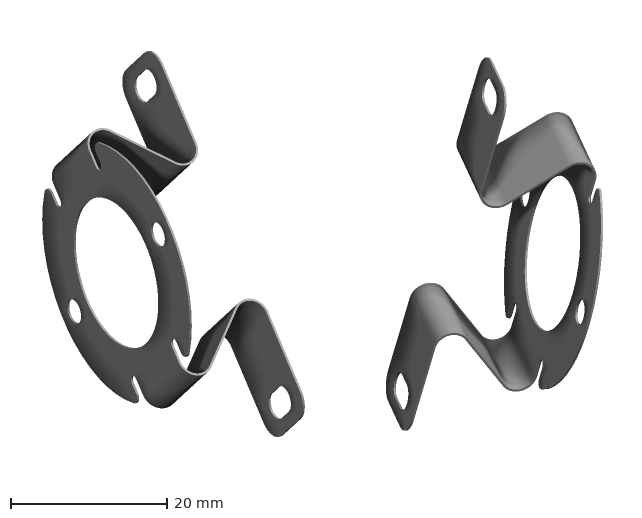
import cadquery as cq
import math

sheet = 0.3
total_depth = 15.0
disc_radius = 17.5
bore_radius = 10.0
hole_radius = 1.62
hole_distance = 14.03

arm_half_width = 6.0
bend_outer_radius = 2.5
first_bend_x = 15.0
second_bend_x = 12.0
tip_x = 26.0
tip_corner_radius = 3.0
slot_x = 22.5
slot_width = 3.5
slot_length = 6.0
arm_angle = 45

notch_width = 1.5
notch_end_x = 12.0
lip_radius = 1.0

bend_mid_radius = bend_outer_radius - sheet / 2
second_bend_y = total_depth - bend_outer_radius
notch_outer_z = arm_half_width + notch_width


def plate(profile):
    """Give a flat XZ outline the sheet thickness, from Y = 0 to Y = sheet."""
    return profile.extrude(-sheet)


def make_disc():
    disc = plate(cq.Workplane("XZ").circle(disc_radius))
    gap_length = disc_radius - first_bend_x
    for side in (-1, 1):
        gap = plate(
            cq.Workplane("XZ")
            .center(side * (first_bend_x + gap_length / 2), 0)
            .rect(gap_length, 2 * arm_half_width)
        )
        disc = disc.cut(gap)
        notch_length = 2 * (disc_radius - notch_end_x)
        notches = plate(
            cq.Workplane("XZ")
            .pushPoints([(side * disc_radius, z * (arm_half_width + notch_width / 2)) for z in (-1, 1)])
            .slot2D(notch_length, notch_width)
        )
        disc = disc.cut(notches)

    lip_x = math.sqrt(disc_radius**2 - notch_outer_z**2)
    for x in (-lip_x, lip_x):
        for z in (-notch_outer_z, notch_outer_z):
            lip = cq.selectors.NearestToPointSelector((x, sheet / 2, z))
            disc = disc.edges("|Y").edges(lip).fillet(lip_radius)

    bore = plate(cq.Workplane("XZ").circle(bore_radius))
    holes = plate(
        cq.Workplane("XZ").pushPoints([(0, -hole_distance), (0, hole_distance)]).circle(hole_radius)
    )
    return disc.cut(bore).cut(holes)


def make_arm():
    run = second_bend_x - first_bend_x
    rise = second_bend_y - bend_outer_radius
    tangent_angle = math.atan2(rise, run) - math.acos(2 * bend_mid_radius / math.hypot(run, rise))

    def first_bend(radius, angle):
        return (
            first_bend_x + radius * math.cos(angle),
            bend_outer_radius + radius * math.sin(angle),
        )

    def second_bend(radius, angle):
        return (
            second_bend_x - radius * math.cos(angle),
            second_bend_y - radius * math.sin(angle),
        )

    outer = bend_outer_radius
    inner = bend_outer_radius - sheet
    start = -math.pi / 2
    middle = (start + tangent_angle) / 2
    arm = (
        cq.Workplane("XY")
        .moveTo(*first_bend(outer, start))
        .threePointArc(first_bend(outer, middle), first_bend(outer, tangent_angle))
        .lineTo(*second_bend(inner, tangent_angle))
        .threePointArc(second_bend(inner, middle), second_bend(inner, start))
        .lineTo(tip_x, total_depth - sheet)
        .lineTo(tip_x, total_depth)
        .lineTo(*second_bend(outer, start))
        .threePointArc(second_bend(outer, middle), second_bend(outer, tangent_angle))
        .lineTo(*first_bend(inner, tangent_angle))
        .threePointArc(first_bend(inner, middle), first_bend(inner, start))
        .close()
        .extrude(arm_half_width, both=True)
    )
    arm = arm.edges("|Y and >X").fillet(tip_corner_radius)
    slot = plate(cq.Workplane("XZ").center(slot_x, 0).slot2D(slot_length, slot_width, 90))
    return arm.cut(slot.translate((0, total_depth - sheet, 0)))


arm = make_arm()
opposite_arm = arm.rotate((0, 0, 0), (0, 1, 0), 180)
bracket = make_disc().union(arm).union(opposite_arm)
result = bracket.rotate((0, 0, 0), (0, 1, 0), arm_angle)